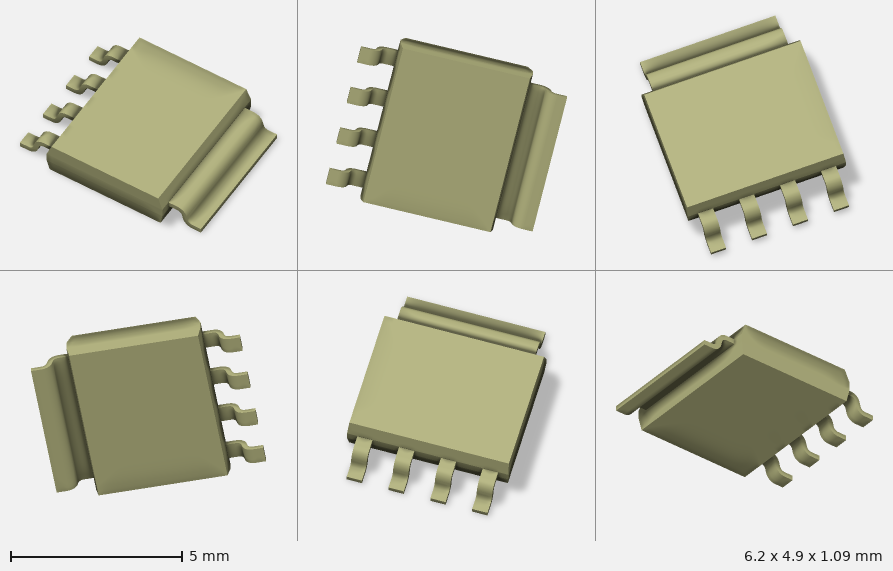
import cadquery as cq
import math

overall_length = 6.2
body_width = 4.9
body_height = 1.09

lead_reach = 1.11
body_length = overall_length - 2 * lead_reach
band_bottom = 0.4
band_top = 0.69
top_inset_x = 0.155
top_inset_y = 0.025
bottom_inset_x = 0.08
bottom_inset_y = 0.04

lead_thickness = 0.16
lead_top = 0.67
foot_length = 0.3
inner_radius = 0.17
outer_radius = inner_radius + lead_thickness
bend_angle = math.radians(76)

lead_count = 4
lead_pitch = 1.27
lead_width = 0.465
first_lead_y = (lead_count - 1) * lead_pitch / 2
tab_width = 4.2

marker_diameter = 0.2
marker_depth = 0.03
marker_side_distance = 0.59
marker_x = marker_side_distance - body_length / 2
marker_y = first_lead_y


def tapered_half(band_z, end_z, inset_x, inset_y):
    """Solid from the band outline at band_z to a smaller rectangle at end_z."""
    return (
        cq.Workplane("XY", origin=(0, 0, band_z))
        .rect(body_length, body_width)
        .workplane(offset=end_z - band_z)
        .rect(body_length - 2 * inset_x, body_width - 2 * inset_y)
        .loft(ruled=True)
    )


def make_marker():
    """Disc whose top is level with the top of the body."""
    return (
        cq.Workplane("XY", origin=(marker_x, marker_y, body_height - marker_depth))
        .circle(marker_diameter / 2)
        .extrude(marker_depth)
    )


def make_body():
    """Package body with a recess that holds the marker."""
    band = (
        cq.Workplane("XY", origin=(0, 0, band_bottom))
        .rect(body_length, body_width)
        .extrude(band_top - band_bottom)
    )
    lower = tapered_half(band_bottom, 0, bottom_inset_x, bottom_inset_y)
    upper = tapered_half(band_top, body_height, top_inset_x, top_inset_y)
    return band.union(lower).union(upper).cut(make_marker())


def arc_point(center, radius, angle):
    """Point on a circle at an angle measured from +Z toward -X."""
    return (center[0] - radius * math.sin(angle), center[1] + radius * math.cos(angle))


def make_bent_strip(width, center_y):
    """Strip on the -X side, bent down from the body side to a flat foot at Z = 0."""
    tip_x = -overall_length / 2
    root_x = -body_length / 2
    root_bottom = lead_top - lead_thickness

    radius_sum = inner_radius + outer_radius
    slope_height = root_bottom - radius_sum * (1 - math.cos(bend_angle))
    bend_length = radius_sum * math.sin(bend_angle) + slope_height / math.tan(bend_angle)
    foot_end_x = tip_x + foot_length
    bend_start_x = foot_end_x + bend_length

    upper_center = (bend_start_x, lead_top - outer_radius)
    lower_center = (foot_end_x, outer_radius)
    half_angle = bend_angle / 2
    lower_end = math.pi + bend_angle
    lower_middle = math.pi + half_angle

    profile = (
        cq.Workplane("XZ", origin=(0, center_y + width / 2, 0))
        .moveTo(root_x, lead_top)
        .lineTo(bend_start_x, lead_top)
        .threePointArc(
            arc_point(upper_center, outer_radius, half_angle),
            arc_point(upper_center, outer_radius, bend_angle),
        )
        .lineTo(*arc_point(lower_center, inner_radius, lower_end))
        .threePointArc(
            arc_point(lower_center, inner_radius, lower_middle),
            (foot_end_x, lead_thickness),
        )
        .lineTo(tip_x, lead_thickness)
        .lineTo(tip_x, 0)
        .lineTo(foot_end_x, 0)
        .threePointArc(
            arc_point(lower_center, outer_radius, lower_middle),
            arc_point(lower_center, outer_radius, lower_end),
        )
        .lineTo(*arc_point(upper_center, inner_radius, bend_angle))
        .threePointArc(
            arc_point(upper_center, inner_radius, half_angle),
            (bend_start_x, root_bottom),
        )
        .lineTo(root_x, root_bottom)
        .close()
    )
    return profile.extrude(width)


def make_lead(index):
    """One narrow lead, counted from the +Y end of the row."""
    return make_bent_strip(lead_width, first_lead_y - index * lead_pitch)


def make_tab():
    """Wide tab on the +X side with the same profile as the leads."""
    return make_bent_strip(tab_width, 0).mirror("YZ")


body = make_body()
marker = make_marker()
leads = [make_lead(index) for index in range(lead_count)]
tab = make_tab()

result = cq.Compound.makeCompound(
    [body.val(), marker.val(), *[lead.val() for lead in leads], tab.val()]
)